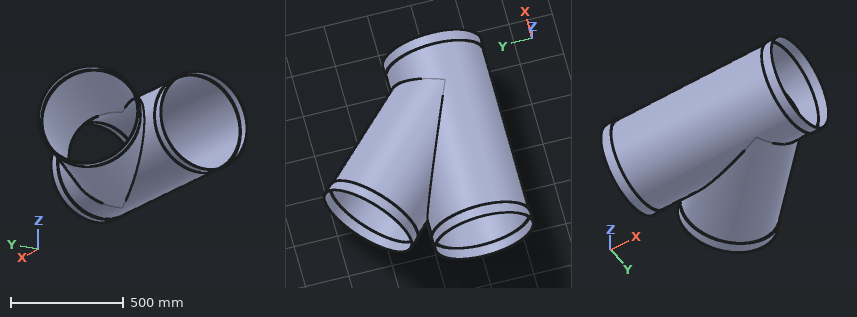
import cadquery as cq
import math

run_length = 918.0
socket_diameter = 457.0
pipe_diameter = 450.0
bore_diameter = 442.5
collar_length = 53.0
branch_angle = 45.0
overall_width = 873.0
branch_x = 225.0

angle = math.radians(branch_angle)
socket_radius = socket_diameter / 2
mouth_y = overall_width - socket_radius - socket_radius * math.cos(angle)
branch_length = mouth_y / math.sin(angle)

run_start = cq.Vector(-run_length / 2, 0, 0)
run_direction = cq.Vector(1, 0, 0)
branch_start = cq.Vector(branch_x, 0, 0)
branch_direction = cq.Vector(-math.cos(angle), math.sin(angle), 0)


def cylinder(diameter, length, start, direction, offset=0):
    """Cylinder beginning at an offset along an axis."""
    base = start + direction * offset
    return cq.Workplane(cq.Solid.makeCylinder(diameter / 2, length, base, direction))


def collar(start, direction, offset):
    """Thin end ring whose inside matches the outside of the pipe."""
    outer = cylinder(socket_diameter, collar_length, start, direction, offset)
    inner = cylinder(pipe_diameter, collar_length, start, direction, offset)
    return outer.cut(inner)


overlap = 1.0
inset = collar_length - overlap
run_pipe_length = run_length - 2 * inset
branch_pipe_length = branch_length - inset

body = cylinder(pipe_diameter, run_pipe_length, run_start, run_direction, inset)
body = body.union(cylinder(pipe_diameter, branch_pipe_length, branch_start, branch_direction))
body = body.cut(cylinder(bore_diameter, run_length, run_start, run_direction))
body = body.cut(cylinder(bore_diameter, branch_length, branch_start, branch_direction))

body = body.union(collar(run_start, run_direction, 0))
body = body.union(collar(run_start, run_direction, run_length - collar_length))
body = body.union(collar(branch_start, branch_direction, branch_length - collar_length))

result = body